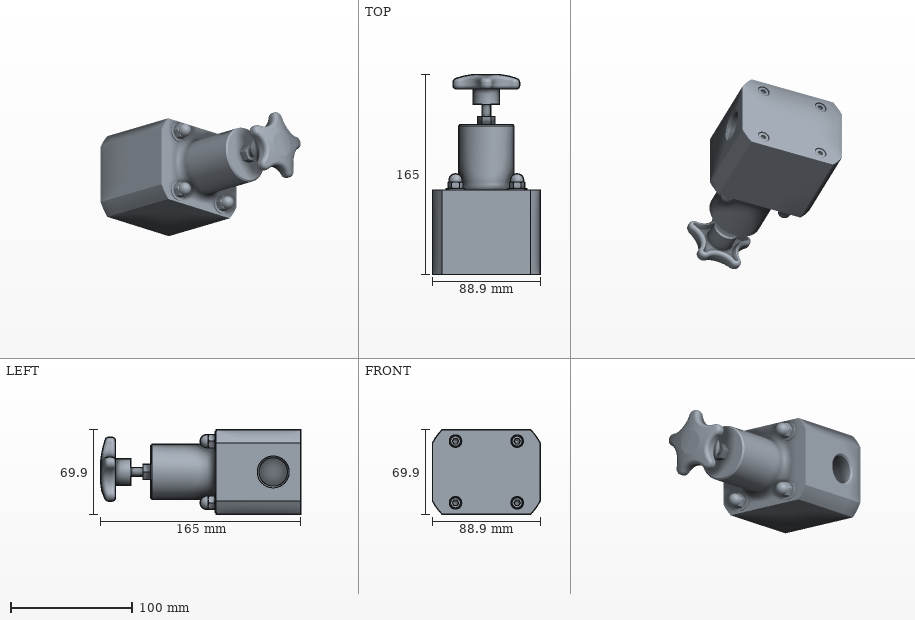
import cadquery as cq
import math


body_width = 88.9
body_height = 69.85
body_length = 69.85
corner_round_diameter = 101.0

port_diameter = 23.42
port_mouth_diameter = 26.2
port_mouth_depth = 1.4
port_depth = 20.0
port_from_front = 22.86

bolt_spacing = 50.8
recess_diameter = 10.3
screw_head_diameter = 9.53
screw_head_chamfer = 0.6
screw_head_inset = 0.6
recess_depth = 5.0
socket_across_flats = 4.45
socket_depth = 2.0
socket_tip_angle = 120.0
washer_diameter = 15.88
washer_thickness = 0.9
nut_across_flats = 11.0
nut_height = 5.7
nut_chamfer_height = 0.7
dome_diameter = 11.0
dome_skirt = 1.2

bonnet_diameter = 45.72
bonnet_length = 53.95
bonnet_flare_radius = 6.35
bonnet_chamfer = 1.2

lock_nut_across_flats = 12.7
lock_nut_height = 6.5
stem_diameter = 7.44

overall_length = 165.02
lobe_count = 5
lobe_center_radius = 23.6
lobe_tip_radius = 5.1
valley_radius = 18.2
knob_thickness = 12.2
knob_dome_radius = 85.0
knob_crown_diameter = 20.0
knob_rim_fillet = 3.0
knob_rim_land = 0.2
knob_top_fillet = 3.2
knob_pocket_depth = 4.0
knob_floor_inset = 4.9
hub_diameter = 22.1
hub_length = 12.6
hub_flare_radius = 2.0

bonnet_end = body_length + bonnet_length
knob_underside = overall_length - knob_thickness
hub_start = knob_underside - hub_length
bolt_points = [
    (sx * bolt_spacing / 2, sz * bolt_spacing / 2) for sx in (-1, 1) for sz in (-1, 1)
]


def plane_at(y, x=0.0, z=0.0):
    """Sketch plane facing +Y, with local x along X and local y along -Z."""
    return cq.Workplane(cq.Plane(origin=(x, y, z), xDir=(1, 0, 0), normal=(0, 1, 0)))


def cylinder(diameter, y_start, y_end, x=0.0, z=0.0):
    return plane_at(y_start, x, z).circle(diameter / 2).extrude(y_end - y_start)


def hexagon(across_flats, y_start, y_end, x=0.0, z=0.0):
    """Hexagonal prism along Y with two corners on the X direction."""
    across_corners = across_flats / math.cos(math.pi / 6)
    return plane_at(y_start, x, z).polygon(6, across_corners).extrude(y_end - y_start)


def make_body():
    block = cq.Workplane("XY").box(body_width, body_length, body_height)
    block = block.translate((0, body_length / 2, 0))
    return block.intersect(cylinder(corner_round_diameter, 0, body_length))


def make_port():
    """Blind bore with a conical mouth, shaped to be cut from the -X side."""
    mouth_radius = port_mouth_diameter / 2
    bore_radius = port_diameter / 2
    side = -body_width / 2
    profile = [
        (side, 0),
        (side, mouth_radius),
        (side + port_mouth_depth, bore_radius),
        (side + port_depth, bore_radius),
        (side + port_depth, 0),
    ]
    port = cq.Workplane("XY").polyline(profile).close().revolve(360, (0, 0), (1, 0))
    return port.translate((0, port_from_front, 0))


def make_cap_screw(x, z):
    """Screw head standing in its recess, with a cone-bottomed hex socket."""
    head = cylinder(screw_head_diameter, screw_head_inset, recess_depth, x, z)
    head = head.faces("<Y").chamfer(screw_head_chamfer)
    corner_radius = socket_across_flats / 2 / math.cos(math.pi / 6)
    tip_height = corner_radius / math.tan(math.radians(socket_tip_angle / 2))
    socket_end = screw_head_inset + socket_depth
    tip_end = socket_end + tip_height
    point = cq.Solid.makeCone(
        corner_radius, 0, tip_height, cq.Vector(x, socket_end, z), cq.Vector(0, 1, 0)
    )
    broach = cylinder(2 * corner_radius, screw_head_inset, socket_end, x, z).union(cq.Workplane(point))
    socket = hexagon(socket_across_flats, screw_head_inset, tip_end, x, z).intersect(broach)
    return head.cut(socket)


def make_acorn_nut(x, z):
    """Washer, hex with both ends chamfered at the corners, and a domed cap."""
    hex_start = body_length + washer_thickness
    hex_end = hex_start + nut_height
    dome_base = hex_end + dome_skirt
    across_corners = nut_across_flats / math.cos(math.pi / 6)
    corner_cut = (across_corners - nut_across_flats) / 2

    washer = cylinder(washer_diameter, body_length, hex_start, x, z)
    envelope = cylinder(across_corners, hex_start, hex_end, x, z)
    envelope = envelope.faces("<Y or >Y").chamfer(nut_chamfer_height, corner_cut)
    nut = hexagon(nut_across_flats, hex_start, hex_end, x, z).intersect(envelope)
    skirt = cylinder(dome_diameter, hex_end, dome_base, x, z)
    dome = cq.Workplane("XY").sphere(dome_diameter / 2).translate((x, dome_base, z))
    return washer.union(nut).union(skirt).union(dome)


def flared_post(diameter, y_root, y_end, flare_radius):
    """Post along Y whose root flares outward in a concave quarter round."""
    toward_end = math.copysign(1, y_end - y_root)
    radius = diameter / 2
    flare_x = radius + flare_radius
    flare_y = y_root + toward_end * flare_radius
    half_chord = flare_radius * math.sqrt(0.5)
    profile = (
        cq.Workplane("XY")
        .moveTo(0, y_root)
        .lineTo(flare_x, y_root)
        .threePointArc((flare_x - half_chord, flare_y - toward_end * half_chord), (radius, flare_y))
        .lineTo(radius, y_end)
        .lineTo(0, y_end)
        .close()
    )
    return profile.revolve(360, (0, 0), (0, 1))


def make_bonnet():
    """Cylindrical bonnet, flared at the body and chamfered at its free end."""
    bonnet = flared_post(bonnet_diameter, body_length, bonnet_end, bonnet_flare_radius)
    return bonnet.faces(">Y").chamfer(bonnet_chamfer)


def make_hub():
    """Knob hub, flared where it meets the pocket floor."""
    pocket_floor = knob_underside + knob_pocket_depth
    return flared_post(hub_diameter, pocket_floor, hub_start, hub_flare_radius)


def polar(radius, angle):
    """Point on a knob plane, with the angle measured from the +Z direction."""
    return (radius * math.sin(angle), -radius * math.cos(angle))


def star_outline(y, inset):
    """Closed star of tip arcs and tangent valley arcs, moved inward by inset."""
    half_pitch = math.pi / lobe_count
    along = lobe_center_radius * math.cos(half_pitch)
    hollow_radius = (
        lobe_center_radius**2 + valley_radius**2 - 2 * valley_radius * along - lobe_tip_radius**2
    ) / (2 * (along + lobe_tip_radius - valley_radius))
    hollow_center_radius = valley_radius + hollow_radius
    tangent_angle = math.atan2(
        hollow_center_radius * math.sin(half_pitch),
        hollow_center_radius * math.cos(half_pitch) - lobe_center_radius,
    )
    tip_radius = lobe_tip_radius - inset

    def tangent_point(lobe_angle, side):
        center = polar(lobe_center_radius, lobe_angle)
        offset = polar(tip_radius, lobe_angle + side * tangent_angle)
        return (center[0] + offset[0], center[1] + offset[1])

    outline = plane_at(y).moveTo(*tangent_point(0, -1))
    for index in range(lobe_count):
        lobe_angle = 2 * half_pitch * index
        next_angle = lobe_angle + 2 * half_pitch
        outline = outline.threePointArc(
            polar(lobe_center_radius + tip_radius, lobe_angle), tangent_point(lobe_angle, 1)
        ).threePointArc(
            polar(valley_radius - inset, lobe_angle + half_pitch), tangent_point(next_angle, -1)
        )
    return outline.close()


def make_knob_pocket():
    """Underside pocket whose walls lean inward from the rim to the floor."""
    rim = star_outline(knob_underside, knob_rim_fillet + knob_rim_land).val()
    floor = star_outline(knob_underside + knob_pocket_depth, knob_floor_inset).val()
    return cq.Workplane(cq.Solid.makeLoft([rim, floor], True))


def make_knob():
    """Domed star with rounded rims and a flat crown, hollowed below around a hub."""
    dome_center = overall_length - math.sqrt(knob_dome_radius**2 - (knob_crown_diameter / 2) ** 2)
    above_dome = overall_length + knob_thickness
    star_span = 2 * (lobe_center_radius + lobe_tip_radius)
    star = star_outline(knob_underside, 0).extrude(above_dome - knob_underside)
    dome = cq.Workplane("XY").sphere(knob_dome_radius).translate((0, dome_center, 0))
    star = star.intersect(dome)
    star = star.faces(">Y").edges().fillet(knob_top_fillet)
    star = star.faces("<Y").edges().fillet(knob_rim_fillet)
    star = star.cut(cylinder(star_span, overall_length, above_dome))
    star = star.cut(make_knob_pocket())
    return star.union(make_hub())


def make_spindle():
    """Lock nut, stem and knob, with the stem seated in the bonnet and in the hub."""
    nut = hexagon(lock_nut_across_flats, bonnet_end, bonnet_end + lock_nut_height)
    stem = cylinder(stem_diameter, bonnet_end - lock_nut_height, knob_underside)
    return make_knob().union(stem).union(nut)


result = make_body().cut(make_port())
for bolt_x, bolt_z in bolt_points:
    result = result.cut(cylinder(recess_diameter, 0, recess_depth, bolt_x, bolt_z))
    result = result.union(make_cap_screw(bolt_x, bolt_z))
result = result.union(make_bonnet())
for bolt_x, bolt_z in bolt_points:
    result = result.union(make_acorn_nut(bolt_x, bolt_z))
result = result.union(make_spindle())